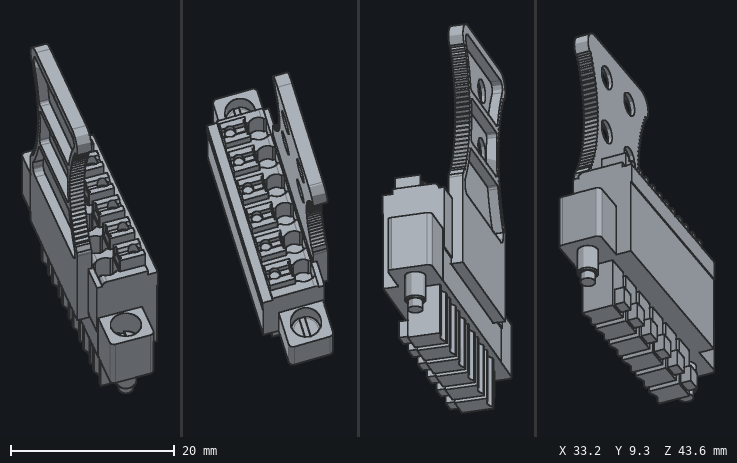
import cadquery as cq
import math

pole_count = 6
pole_span = 19.05
pole_pitch = pole_span / (pole_count - 1)
pole_xs = [(i - (pole_count - 1) / 2) * pole_pitch for i in range(pole_count)]

core_width = 23.8
core_bottom = 6.63
core_front_lower = -2.88
core_front_upper = -3.0
front_step_z = 11.25
ledge_z = 19.35
core_top = 20.0
top_front = -2.3
top_back = 3.6
top_edge_radius = 0.6
core_back_lower = 4.8
core_back_upper = 4.9
back_step_z = 16.8

flange_width = 33.25
flange_depth = 5.65
flange_top = 13.75
flange_corner_radius = 0.55

peg_width = 2.95
peg_front = -2.2
peg_back = 1.9
peg_groove_width = 1.85
peg_groove_depth = 0.35
tab_width = 1.9
tab_back = 3.23
tab_bottom = 0.4
tab_top = 2.6

well_radius = 1.45
well_floor = 14.82
well_mouth_width = 2.15
button_width = 2.65
button_front = 0.4
button_top = 22.0
foot_width = 2.25
foot_front = 0.25
foot_top = 20.05
notch_top_width = 1.15
notch_bottom_width = 0.6
notch_depth = 0.52
bore_radius = 0.7
bore_y = 2.6
bore_depth = 1.3
ramp_width = 1.9
ramp_depth = 0.25
ramp_top = 20.85
ramp_bottom = 20.25

screw_x = 14.05
screw_bore_radius = 1.87
screw_seat_z = 8.7
head_radius = 1.85
head_height = 1.95
head_edge_radius = 0.3
driver_slot_width = 0.7
driver_slot_depth = 0.52
shaft_radius = 2.57 / 2
shaft_bottom = 3.23
shaft_chamfer = 0.17
tip_radius = 0.9
tip_bottom = 2.1

handle_width = 17.25
handle_front = -4.4
handle_back = -2.55
handle_bottom = 10.4
handle_top = 43.6
shoulder_start_z = 22.3
shoulder_middle = (8.6, 22.5)
shoulder_end = (8.45, 22.67)
grip_start = (8.1, 23.4)
corner_radius = 2.0
corner_end_z = 40.37
waist_z = 31.85
waist_half_width = 6.0
waist_radius = 18.3
tooth_count = 27
tooth_pitch_angle = 2.0
tooth_depth = 0.3
rim_width = 0.95
pocket_depth = 1.3
pocket_fillet = 0.45
outer_pocket_fillet = 0.87
upper_pocket = (35.4, 42.35)
middle_pocket = (28.43, 34.45)
lower_pocket = (20.4, 27.45)
lower_pocket_width = 15.45
hole_radius = 1.5
hole_half_spacing = 3.23
hole_zs = (31.5, 39.45)

waist_center_x = waist_half_width + waist_radius
handle_half_width = handle_width / 2


def block(x_size, x_center, y_range, z_range):
    """Box centred on x_center that spans the given Y and Z ranges."""
    return (
        cq.Workplane("XY")
        .box(x_size, y_range[1] - y_range[0], z_range[1] - z_range[0], centered=(True, False, False))
        .translate((x_center, y_range[0], z_range[0]))
    )


def upright_cylinder(radius, x, y, z_range):
    """Vertical cylinder between two heights."""
    return (
        cq.Workplane("XY", origin=(x, y, z_range[0]))
        .circle(radius)
        .extrude(z_range[1] - z_range[0])
    )


def make_core():
    """Stepped block along X with a rounded front top edge."""
    profile = [
        (core_front_lower, core_bottom),
        (core_front_lower, front_step_z),
        (core_front_upper, front_step_z),
        (core_front_upper, ledge_z),
        (top_front, ledge_z),
        (top_front, core_top),
        (top_back, core_top),
        (top_back, ledge_z),
        (core_back_upper, ledge_z),
        (core_back_upper, back_step_z),
        (core_back_lower, back_step_z),
        (core_back_lower, core_bottom),
    ]
    core = cq.Workplane("YZ").polyline(profile).close().extrude(core_width / 2, both=True)
    front_top_edge = cq.selectors.NearestToPointSelector((0, top_front, core_top))
    return core.edges(front_top_edge).fillet(top_edge_radius)


def make_flange():
    """Block that carries one screw at each end."""
    depth_range = (-flange_depth / 2, flange_depth / 2)
    flange = block(flange_width, 0, depth_range, (core_bottom, flange_top))
    return flange.edges("|Z").fillet(flange_corner_radius)


def make_peg(x):
    """Hanging contact peg with a hollow groove in front and a tab at its back."""
    half_groove = peg_groove_width / 2
    peg = block(peg_width, x, (peg_front, peg_back), (0, core_bottom))
    tab = block(tab_width, x, (peg_back, tab_back), (tab_bottom, tab_top))
    groove = (
        cq.Workplane("XY")
        .moveTo(x - half_groove, peg_front)
        .threePointArc((x, peg_front + peg_groove_depth), (x + half_groove, peg_front))
        .close()
        .extrude(core_bottom)
    )
    return peg.union(tab).cut(groove)


def button_envelope(x):
    """Outer shape of a push button, also the pocket it sits in."""
    body = block(button_width, x, (button_front, top_back), (well_floor, button_top))
    foot = block(foot_width, x, (foot_front, button_front), (well_floor, foot_top))
    return body.union(foot)


def make_well(x):
    """Round wire well with flat front and back, opening through the raised front lip."""
    y_range = (top_front, foot_front)
    z_range = (well_floor, core_top)
    bore = upright_cylinder(well_radius, x, (top_front + foot_front) / 2, z_range)
    flattened_bore = bore.intersect(block(2 * well_radius, x, y_range, z_range))
    return flattened_bore.union(block(well_mouth_width, x, y_range, z_range))


def screw_bore(x):
    """Head bore with the shaft hole below it."""
    head_bore = upright_cylinder(screw_bore_radius, x, 0, (screw_seat_z, flange_top))
    shaft_hole = upright_cylinder(shaft_radius, x, 0, (core_bottom, screw_seat_z))
    return head_bore.union(shaft_hole)


def make_housing():
    housing = make_core().union(make_flange())
    for x in pole_xs:
        housing = housing.union(make_peg(x))
    for x in pole_xs:
        housing = housing.cut(make_well(x)).cut(button_envelope(x))
    for x in (-screw_x, screw_x):
        housing = housing.cut(screw_bore(x))
    handle_recess = block(handle_width, 0, (core_front_upper, handle_back), (handle_bottom, ledge_z))
    return housing.cut(handle_recess)


def make_button(x):
    """Push button with a tapered notch, a round bore and a ramp in its front."""
    notch = (
        cq.Workplane("XZ", origin=(x, top_back, button_top))
        .moveTo(-notch_top_width / 2, 0)
        .lineTo(-notch_bottom_width / 2, -notch_depth)
        .lineTo(notch_bottom_width / 2, -notch_depth)
        .lineTo(notch_top_width / 2, 0)
        .close()
        .extrude(top_back - button_front)
    )
    bore = upright_cylinder(bore_radius, x, bore_y, (button_top - bore_depth, button_top))
    ramp = (
        cq.Workplane("YZ", origin=(x, 0, 0))
        .moveTo(button_front, ramp_bottom)
        .lineTo(button_front + ramp_depth, ramp_top)
        .lineTo(button_front + ramp_depth, button_top)
        .lineTo(button_front, button_top)
        .close()
        .extrude(ramp_width / 2, both=True)
    )
    return button_envelope(x).cut(notch).cut(bore).cut(ramp)


def make_screw(x):
    """Slotted screw with a reduced tip, standing on the bore seat."""
    head_top = screw_seat_z + head_height
    head = upright_cylinder(head_radius, x, 0, (screw_seat_z, head_top))
    head = head.faces(">Z").edges().fillet(head_edge_radius)
    slot_range = (-driver_slot_width / 2, driver_slot_width / 2)
    driver_slot = block(2 * head_radius, x, slot_range, (head_top - driver_slot_depth, head_top))
    shaft = upright_cylinder(shaft_radius, x, 0, (shaft_bottom, screw_seat_z))
    shaft = shaft.faces("<Z").edges().chamfer(shaft_chamfer)
    tip = upright_cylinder(tip_radius, x, 0, (tip_bottom, shaft_bottom))
    return head.cut(driver_slot).union(shaft).union(tip)


def waist_point(radius, angle):
    """Point of the right-hand waist arc, at an angle in degrees above the waist line."""
    a = math.radians(angle)
    return (waist_center_x - radius * math.cos(a), waist_z + radius * math.sin(a))


def tooth_points():
    """Roots and tips of the right-hand grip teeth, from bottom to top."""
    first_root = -tooth_count / 2 * tooth_pitch_angle
    points = [waist_point(waist_radius + tooth_depth, first_root)]
    for i in range(tooth_count):
        root = first_root + i * tooth_pitch_angle
        points.append(waist_point(waist_radius, root + tooth_pitch_angle / 2))
        points.append(waist_point(waist_radius + tooth_depth, root + tooth_pitch_angle))
    return points


def make_handle_plate():
    """Waisted plate, made as a right half and mirrored."""
    corner_x = handle_half_width - corner_radius
    corner_z = handle_top - corner_radius
    corner_end_x = corner_x + math.sqrt(corner_radius**2 - (corner_z - corner_end_z) ** 2)
    half = (
        cq.Workplane("XZ", origin=(0, handle_back, 0))
        .moveTo(0, handle_bottom)
        .lineTo(handle_half_width, handle_bottom)
        .lineTo(handle_half_width, shoulder_start_z)
        .threePointArc(shoulder_middle, shoulder_end)
        .lineTo(*grip_start)
    )
    for point in tooth_points():
        half = half.lineTo(*point)
    half = (
        half.lineTo(corner_end_x, corner_end_z)
        .threePointArc((handle_half_width, corner_z), (corner_x, handle_top))
        .lineTo(0, handle_top)
        .close()
        .extrude(handle_back - handle_front)
    )
    return half.union(half.mirror("YZ")).clean()


def make_pocket(z_range, width, top_fillet, bottom_fillet):
    """Front pocket whose sides follow the waist arcs."""
    pocket = block(width, 0, (handle_front, handle_front + pocket_depth), z_range)
    for side in (-1, 1):
        side_cylinder = (
            cq.Workplane("XZ", origin=(side * waist_center_x, handle_back, waist_z))
            .circle(waist_radius + rim_width)
            .extrude(handle_back - handle_front)
        )
        pocket = pocket.cut(side_cylinder)
    pocket = pocket.faces(">Z").edges("|Y").fillet(top_fillet)
    return pocket.faces("<Z").edges("|Y").fillet(bottom_fillet)


def make_handle():
    handle = make_handle_plate()
    handle = handle.cut(make_pocket(upper_pocket, handle_width, outer_pocket_fillet, pocket_fillet))
    handle = handle.cut(make_pocket(middle_pocket, handle_width, pocket_fillet, pocket_fillet))
    handle = handle.cut(make_pocket(lower_pocket, lower_pocket_width, pocket_fillet, outer_pocket_fillet))
    holes = (
        cq.Workplane("XZ", origin=(0, handle_back, 0))
        .pushPoints([(side * hole_half_spacing, z) for side in (-1, 1) for z in hole_zs])
        .circle(hole_radius)
        .extrude(handle_back - handle_front)
    )
    return handle.cut(holes)


housing = make_housing()
handle = make_handle()
buttons = [make_button(x) for x in pole_xs]
screws = [make_screw(x) for x in (-screw_x, screw_x)]

result = cq.Compound.makeCompound(
    [housing.val(), handle.val()]
    + [button.val() for button in buttons]
    + [screw.val() for screw in screws]
)